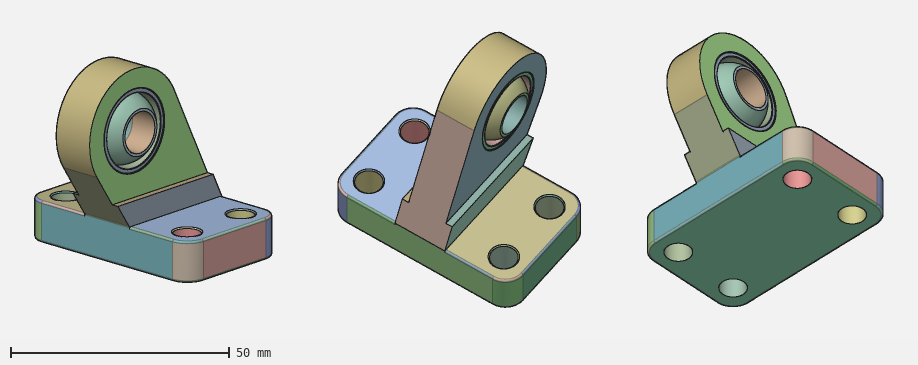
import cadquery as cq
import math

base_length = 51.0
base_width = 31.0
base_height = 10.0
corner_radius = 5.0
edge_round = 0.5

hole_diameter = 6.6
hole_chamfer = 0.3
hole_spacing_x = 38.0
hole_spacing_y = 18.0

eye_radius = 15.0
eye_y = -12.0
eye_z = 32.0
lug_thickness = 10.5
foot_thickness = 14.0
foot_top = 15.9
foot_root_radius = 0.5
lug_bottom = base_height - edge_round

bearing_diameter = 20.0
seat_chamfer = 0.2
race_recess = 0.1
race_bore_diameter = 18.0
race_mouth_chamfer = 0.15
ball_diameter = 18.05
ball_width = 14.0
ball_bore_diameter = 10.0


def tangent_point(start_y, start_z, side):
    """Point where a line from the start touches the eye circle; side is +1 or -1 around the circle."""
    offset_y = start_y - eye_y
    offset_z = start_z - eye_z
    half_angle = math.acos(eye_radius / math.hypot(offset_y, offset_z))
    angle = math.atan2(offset_z, offset_y) + side * half_angle
    return eye_y + eye_radius * math.cos(angle), eye_z + eye_radius * math.sin(angle)


def along_x(radius, length):
    """Cylinder on the eye axis, centred on X = 0."""
    return (
        cq.Workplane("YZ")
        .center(eye_y, eye_z)
        .circle(radius)
        .extrude(length / 2, both=True)
    )


def mouth_flare(radius, chamfer, width, side):
    """Cone that chamfers one mouth of a bore on the eye axis; side is +1 or -1 along X."""
    return cq.Workplane(
        cq.Solid.makeCone(
            radius + chamfer,
            radius,
            chamfer,
            cq.Vector(side * width / 2, eye_y, eye_z),
            cq.Vector(-side, 0, 0),
        )
    )


def make_base():
    plate = (
        cq.Workplane("XY")
        .rect(base_length, base_width)
        .extrude(base_height)
        .edges("|Z")
        .fillet(corner_radius)
        .faces("<Z or >Z")
        .edges()
        .fillet(edge_round)
    )
    flare = cq.Workplane(
        cq.Solid.makeCone(
            hole_diameter / 2,
            hole_diameter / 2 + hole_chamfer,
            hole_chamfer,
            cq.Vector(0, 0, base_height - hole_chamfer),
        )
    )
    hole = cq.Workplane("XY").circle(hole_diameter / 2).extrude(base_height).union(flare)
    for side_x in (-1, 1):
        for side_y in (-1, 1):
            plate = plate.cut(
                hole.translate((side_x * hole_spacing_x / 2, side_y * hole_spacing_y / 2, 0))
            )
    return plate


def make_lug():
    """Eye with tangent flanks that run down to the front and back edges of the base."""
    front = -base_width / 2
    back = base_width / 2
    flank_front = tangent_point(front, base_height, -1)
    flank_back = tangent_point(back, base_height, 1)
    profile = (
        cq.Workplane("YZ")
        .moveTo(front, lug_bottom)
        .lineTo(front, base_height)
        .lineTo(*flank_front)
        .threePointArc((eye_y, eye_z + eye_radius), flank_back)
        .lineTo(back, base_height)
        .lineTo(back, lug_bottom)
        .close()
    )
    lug = profile.extrude(foot_thickness / 2, both=True)
    root = cq.selectors.NearestToPointSelector((0, front, base_height))
    lug = lug.edges("|X").edges(root).fillet(foot_root_radius)

    side_depth = (foot_thickness - lug_thickness) / 2
    side_center = (foot_thickness + lug_thickness) / 4
    side_height = eye_z + eye_radius - foot_top
    for side in (-1, 1):
        step = cq.Workplane("XY").box(
            side_depth, 2 * base_length, side_height, centered=(True, True, False)
        )
        lug = lug.cut(step.translate((side * side_center, 0, foot_top)))
    return lug


def make_housing():
    body = make_base().union(make_lug()).cut(along_x(bearing_diameter / 2, foot_thickness))
    for side in (-1, 1):
        body = body.cut(mouth_flare(bearing_diameter / 2, seat_chamfer, lug_thickness, side))
    return body


def make_bearing():
    """Outer race and bored ball as one solid."""
    race_width = lug_thickness - 2 * race_recess
    race = along_x(bearing_diameter / 2, race_width).cut(along_x(race_bore_diameter / 2, race_width))
    for side in (-1, 1):
        race = race.cut(mouth_flare(race_bore_diameter / 2, race_mouth_chamfer, race_width, side))
    ball = (
        cq.Workplane("XY")
        .sphere(ball_diameter / 2, direct=(1, 0, 0))
        .translate((0, eye_y, eye_z))
        .intersect(along_x(ball_diameter, ball_width))
    )
    return race.union(ball).cut(along_x(ball_bore_diameter / 2, ball_width))


housing = make_housing()
bearing = make_bearing()
result = cq.Compound.makeCompound([housing.val(), bearing.val()])